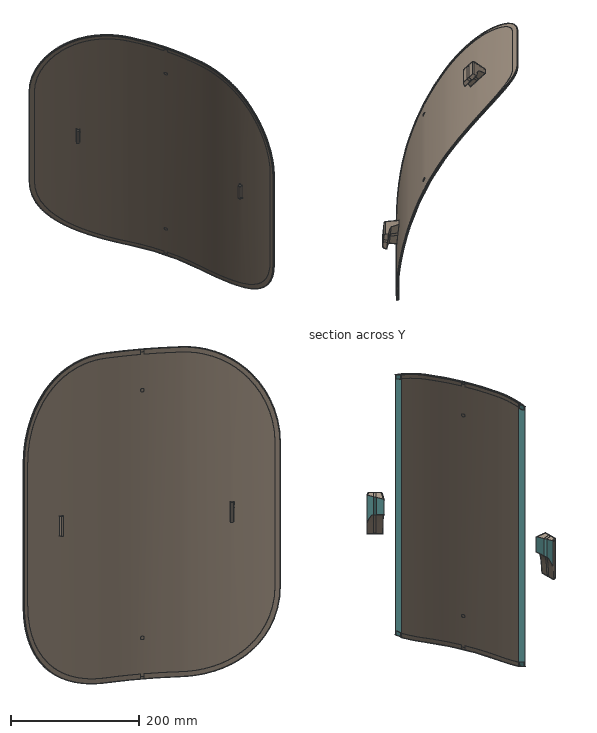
import cadquery as cq
import math

outer_radius = 403.0
panel_thickness = 2.95
width = 416.5
half_height = 270.0
corner_radius = 152.5
apex_y = 30.0
axis_y = apex_y - outer_radius
half_angle = math.asin(width / 2 / outer_radius)

skin_thickness = 0.65
strip_thickness = panel_thickness - 2 * skin_thickness
strip_width = 8.0
strip_gap = 6.0
gap_depth = strip_width / 2

hole_diameter = 6.0
hole_z = 203.0
hole_floor = 1.0

hook_angle = 20.2
hook_height = 22.5
hook_base_width = 33.0
hook_tip_width = 22.0
hook_top = 6.0
hook_bottom = -74.0
hook_root = -2.5
foot_bottom = -21.0
grip_top = (12.0, -32.5)
grip_bend = (13.5, -40.5)
grip_waist = (14.5, -49.5)
grip_end_y = 16.0
hook_chamfer = 1.5
hook_end_wall = 1.5

core_thickness = 4.0
tab_height = 32.5
tab_projection = 4.0
slot_width = 6.5

sides = (-1, 1)
oversize = 1080.0


def sheet_end_mask(inset):
    """Slab that gives the +X end of a sheet its radial end face and rounded corners."""
    end_angle = half_angle - inset / outer_radius
    return (
        cq.Workplane("XY")
        .box(outer_radius, 2 * outer_radius, 2 * (half_height - inset))
        .edges("|Y and >X")
        .fillet(corner_radius - inset)
        .translate((-outer_radius / 2, outer_radius, 0))
        .rotate((0, 0, 0), (0, 0, 1), -math.degrees(end_angle))
        .translate((0, axis_y, 0))
    )


def bent_sheet(radius, thickness, inset):
    """Rounded sheet bent about the panel axis, with its rim moved inward by `inset`."""
    mask = sheet_end_mask(inset)
    return (
        cq.Workplane("XY", origin=(0, axis_y, 0))
        .circle(radius)
        .circle(radius - thickness)
        .extrude(half_height, both=True)
        .intersect(mask)
        .intersect(mask.mirror("YZ"))
    )


def groove_ring():
    """Closed ring in the middle of the panel thickness, from the rim inward."""
    radius = outer_radius - skin_thickness
    ring = bent_sheet(radius, strip_thickness, 0)
    return ring.cut(bent_sheet(radius, strip_thickness, strip_width))


def edge_strip(ring, side):
    """Half of the ring, ending short of the middle plane."""
    half = cq.Workplane("XY").box(oversize, oversize, oversize)
    return ring.intersect(half.translate((side * (oversize + strip_gap) / 2, 0, 0)))


def groove_between_strips(ring):
    """Shallower stretch of groove between the strip ends."""
    middle = cq.Workplane("XY").box(strip_gap, oversize, oversize)
    uncut = cq.Workplane("XY").box(oversize, oversize, 2 * (half_height - gap_depth))
    return ring.intersect(middle).cut(uncut)


def blind_holes():
    floor_y = apex_y - panel_thickness + hole_floor
    return (
        cq.Workplane("XZ", origin=(0, floor_y, 0))
        .pushPoints([(0, hole_z), (0, -hole_z)])
        .circle(hole_diameter / 2)
        .extrude(-panel_thickness)
    )


def at_hook(body, side):
    """Move a body from the hook frame to its place on the panel."""
    return (
        body.translate((0, outer_radius, 0))
        .rotate((0, 0, 0), (0, 0, 1), -side * hook_angle)
        .translate((0, axis_y, 0))
    )


def convex_face_cylinder():
    """Everything inside the convex face of the panel, in the hook frame."""
    return (
        cq.Workplane("XY", origin=(0, -outer_radius, 0))
        .circle(outer_radius)
        .extrude(half_height, both=True)
    )


def hook_form():
    """Outer shape of a hook, housing and core together."""
    plan = (
        cq.Workplane("XY", origin=(0, 0, hook_bottom))
        .moveTo(-hook_base_width / 2, hook_root)
        .lineTo(-hook_tip_width / 2, hook_height)
        .lineTo(hook_tip_width / 2, hook_height)
        .lineTo(hook_base_width / 2, hook_root)
        .close()
        .extrude(hook_top - hook_bottom)
    )
    profile = (
        cq.Workplane("YZ")
        .moveTo(hook_root, hook_top)
        .lineTo(hook_height, hook_top)
        .lineTo(hook_height, hook_bottom)
        .lineTo(grip_end_y, hook_bottom)
        .lineTo(*grip_waist)
        .threePointArc(grip_bend, grip_top)
        .lineTo(0, foot_bottom)
        .lineTo(hook_root, foot_bottom)
        .close()
        .extrude(hook_base_width / 2, both=True)
    )
    return (
        plan.intersect(profile)
        .faces(">Z")
        .edges(">Y or <X or >X")
        .chamfer(hook_chamfer)
        .faces(">Y")
        .edges("|Z")
        .chamfer(hook_chamfer)
        .cut(convex_face_cylinder())
    )


def panel_passage(width, projection):
    """Block through the panel at a hook, ending `projection` past the concave face."""
    inner_y = -panel_thickness - projection
    block = (
        cq.Workplane("XY")
        .box(width, -inner_y, tab_height)
        .translate((0, inner_y / 2, 0))
    )
    return block.intersect(convex_face_cylinder())


def core_plate():
    """Middle slice of the hook, with its tab."""
    slice_block = (
        cq.Workplane("XY", origin=(0, 0, hook_bottom + hook_end_wall))
        .rect(core_thickness, oversize)
        .extrude(oversize)
    )
    return hook_form().intersect(slice_block).union(panel_passage(core_thickness, tab_projection))


def panel(ring):
    slot = panel_passage(slot_width, tab_projection)
    body = bent_sheet(outer_radius, panel_thickness, 0).cut(blind_holes())
    for side in sides:
        body = body.cut(edge_strip(ring, side)).cut(at_hook(slot, side))
    return body.cut(groove_between_strips(ring))


rim_ring = groove_ring()
curved_panel = panel(rim_ring)
edge_strips = [edge_strip(rim_ring, side) for side in sides]

core = core_plate()
housing = hook_form().cut(core)
cores = [at_hook(core, side) for side in sides]
housings = [at_hook(housing, side) for side in sides]

bodies = [curved_panel, *edge_strips, *housings, *cores]
result = cq.Compound.makeCompound([body.val() for body in bodies])